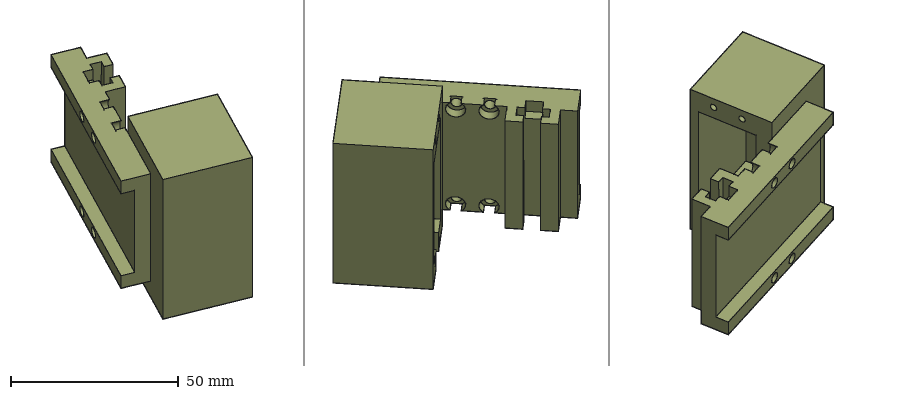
import cadquery as cq

total_x = 70.5
total_y = 37.9
total_z = 56.0

plate_length = 60.1
plate_thickness = 9.45
plate_height = 43.0
plate_bottom = (total_z - plate_height) / 2
plate_top = plate_bottom + plate_height
lip_height = 5.1
lip_depth = 4.4

hole_diameter = 3.3
hole_row_spacing = 38.0
hole_xs = (26.5, 36.5)
recess_diameter = 6.0
recess_depth = 3.1

rail_x = 5.15
rail_width = 16.0
rail_height = 6.4
rail_center_x = rail_x + rail_width / 2
rail_lip_top = 2.9
rail_lip_bottom = 3.1
channel_width = 9.95
mouth_width = 5.3
notch_length = 4.2

block_length = 30.0
block_x = total_x - block_length
block_width = total_y - plate_thickness
pocket_wall = 2.8
pocket_front_wall = 5.6
pocket_end_wall = 7.7
pocket_depth = block_length - pocket_wall
pocket_width = block_width - pocket_wall - pocket_front_wall
pocket_height = total_z - 2 * pocket_end_wall
fixing_center_y = total_y - 13.1
fixing_spacing = 9.95
fixing_edge = 3.45
fixing_diameter = 2.2
fixing_depth = 7.05
slot_width = 7.6


def box(x, y, z, length, width, height):
    """Box given by its minimum corner and its sizes along X, Y and Z."""
    return cq.Workplane("XY").box(length, width, height, centered=False).translate((x, y, z))


def make_plate():
    plate = box(0, 0, plate_bottom, plate_length, plate_thickness, plate_height)
    relief_height = plate_height - 2 * lip_height
    return plate.cut(box(0, 0, plate_bottom + lip_height, plate_length, lip_depth, relief_height))


def make_rails():
    rails = box(rail_x, plate_thickness, plate_bottom, rail_width, rail_height, plate_height)
    rail_back = plate_thickness + rail_height
    channel = (
        cq.Workplane("YZ", origin=(rail_center_x - channel_width / 2, 0, 0))
        .moveTo(plate_thickness, plate_bottom)
        .lineTo(rail_back - rail_lip_bottom, plate_bottom)
        .lineTo(rail_back - rail_lip_top, plate_top)
        .lineTo(plate_thickness, plate_top)
        .close()
        .extrude(channel_width)
    )
    mouth = box(
        rail_center_x - mouth_width / 2, plate_thickness, plate_bottom,
        mouth_width, rail_height, plate_height,
    )
    return rails.cut(channel).cut(mouth)


def y_cylinder(x, y, z, diameter, length):
    """Cylinder starting at the given point and running along +Y."""
    axis = cq.Vector(0, 1, 0)
    return cq.Workplane(cq.Solid.makeCylinder(diameter / 2, length, cq.Vector(x, y, z), axis))


def screw_hole(x, side):
    """Counterbored through hole; side is +1 at the top lip, -1 at the bottom."""
    z = total_z / 2 + side * hole_row_spacing / 2
    recess = y_cylinder(x, plate_thickness - recess_depth, z, recess_diameter, recess_depth)
    return y_cylinder(x, 0, z, hole_diameter, plate_thickness).union(recess)


def rail_notch():
    """Shallow notch below the rail mouth, open at the top edge of the plate."""
    return box(
        rail_center_x - mouth_width / 2, plate_thickness - recess_depth, plate_top - notch_length,
        mouth_width, recess_depth, notch_length,
    )


def make_block():
    block = box(block_x, plate_thickness, 0, block_length, block_width, total_z)
    pocket_y = plate_thickness + pocket_front_wall
    pocket = box(block_x, pocket_y, pocket_end_wall, pocket_depth, pocket_width, pocket_height)
    slot = box(
        block_x, fixing_center_y - slot_width / 2, 0,
        pocket_depth, slot_width, pocket_end_wall,
    )
    block = block.cut(pocket).cut(slot)
    for side in (-1, 1):
        for z in (fixing_edge, total_z - fixing_edge):
            start = cq.Vector(block_x, fixing_center_y + side * fixing_spacing / 2, z)
            hole = cq.Solid.makeCylinder(fixing_diameter / 2, fixing_depth, start, cq.Vector(1, 0, 0))
            block = block.cut(cq.Workplane(hole))
    return block


result = make_plate().union(make_rails()).union(make_block())
for hole_x in hole_xs:
    for lip_side in (-1, 1):
        result = result.cut(screw_hole(hole_x, lip_side))
result = result.cut(rail_notch())